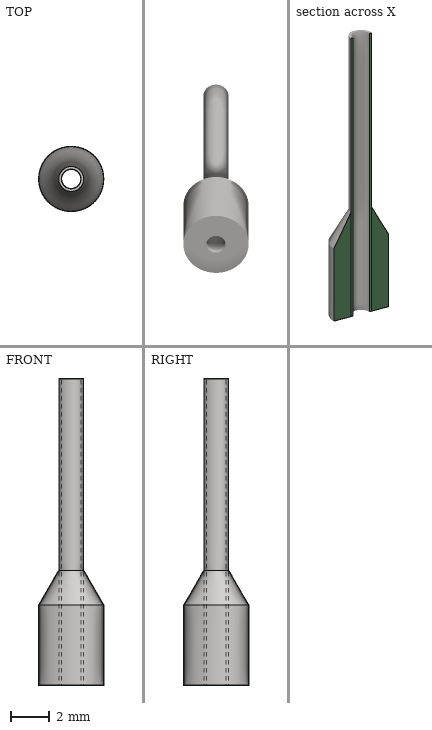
import cadquery as cq
import math

overall_height = 16.0
tube_outer_diameter = 1.3
tube_bore_diameter = 1.0
exposed_tube_length = 10.0
collar_diameter = 3.4
collar_taper_angle = 30.0

collar_height = overall_height - exposed_tube_length
tube_outer_radius = tube_outer_diameter / 2
collar_radius = collar_diameter / 2
taper_height = (collar_radius - tube_outer_radius) / math.tan(math.radians(collar_taper_angle))
collar_straight_height = collar_height - taper_height


def make_tube():
    """Open tube running the full height of the ferrule."""
    return (
        cq.Workplane("XY")
        .circle(tube_outer_radius)
        .circle(tube_bore_diameter / 2)
        .extrude(overall_height)
    )


def make_collar():
    """Cylindrical sleeve that tapers down to the tube, bored to fit around it."""
    return (
        cq.Workplane("XZ")
        .moveTo(tube_outer_radius, 0)
        .lineTo(collar_radius, 0)
        .lineTo(collar_radius, collar_straight_height)
        .lineTo(tube_outer_radius, collar_height)
        .close()
        .revolve(360, (0, 0, 0), (0, 1, 0))
    )


tube = make_tube()
collar = make_collar()

result = cq.Compound.makeCompound([tube.val(), collar.val()])